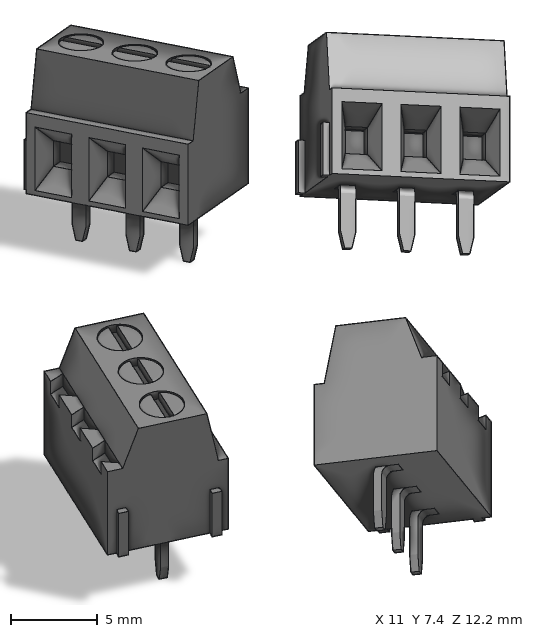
import cadquery as cq


pole_count = 3
pitch = 3.5
pole_places = [(i - (pole_count - 1) / 2) * pitch for i in range(pole_count)]

overall_height = 12.2

housing_length = 10.55
housing_depth = 7.4
housing_height = 8.5
front_ledge_height = 5.01
front_ledge_depth = 0.61
rear_ledge_height = 5.9
rear_ledge_depth = 0.93
top_front_setback = 1.3
top_rear_setback = 1.89

tab_length = 0.4
tab_height = 3.09
tab_edge_distance = 0.84
tab_outer_width = 0.62
tab_neck_width = 0.55

entry_width = 2.38
entry_height = 3.93
entry_floor = 0.3
funnel_depth = 1.28
tunnel_width = 1.33
tunnel_height = 1.59
tunnel_floor = 1.45
tunnel_roof = tunnel_floor + tunnel_height

recess_inner_width = 2.35
recess_rear_width = 1.39
recess_floor = front_ledge_height

axis_place = 3.42
screw_radius = 1.3
screw_edge_radius = 0.2
slot_width = 0.54
slot_depth = 0.56

clamp_gap = 0.07
clamp_height = tunnel_height - clamp_gap
clamp_depth = 2 * screw_radius
clamp_front = axis_place - clamp_depth / 2
tunnel_end = clamp_front + clamp_depth

pin_length = overall_height - housing_height
pin_width = 0.9
pin_thickness = 0.5
bend_inner_radius = pin_thickness
bend_outer_radius = bend_inner_radius + pin_thickness
foot_length = 0.5
tip_width = 0.44
tip_length = 0.96


def make_housing_block():
    """Stepped block with sloping front and rear faces."""
    outline = [
        (0, 0),
        (housing_depth, 0),
        (housing_depth, rear_ledge_height),
        (housing_depth - rear_ledge_depth, rear_ledge_height),
        (housing_depth - top_rear_setback, housing_height),
        (top_front_setback, housing_height),
        (front_ledge_depth, front_ledge_height),
        (0, front_ledge_height),
    ]
    return cq.Workplane("YZ").polyline(outline).close().extrude(housing_length / 2, both=True)


def make_tab(y):
    """Upright dovetail tab that widens away from the -X end face."""
    neck_x = -housing_length / 2
    outer_x = neck_x - tab_length
    outline = [
        (neck_x, y - tab_neck_width / 2),
        (neck_x, y + tab_neck_width / 2),
        (outer_x, y + tab_outer_width / 2),
        (outer_x, y - tab_outer_width / 2),
    ]
    return cq.Workplane("XY").polyline(outline).close().extrude(tab_height)


def make_wire_entry(x):
    """Space of one funnel and the tunnel behind it."""
    shift_up = (tunnel_floor + tunnel_height / 2) - (entry_floor + entry_height / 2)
    funnel = (
        cq.Workplane("XZ")
        .center(x, entry_floor + entry_height / 2)
        .rect(entry_width, entry_height)
        .workplane(offset=-funnel_depth)
        .center(0, shift_up)
        .rect(tunnel_width, tunnel_height)
        .loft(ruled=True)
    )
    tunnel = cq.Workplane("XY").box(
        tunnel_width, tunnel_end - funnel_depth, tunnel_height, centered=(True, False, False)
    )
    return funnel.union(tunnel.translate((x, funnel_depth, tunnel_floor)))


def make_rear_recess(x):
    """Space of one dovetail recess, narrower at the rear face."""
    inner_y = housing_depth - rear_ledge_depth
    outline = [
        (x - recess_inner_width / 2, inner_y),
        (x + recess_inner_width / 2, inner_y),
        (x + recess_rear_width / 2, housing_depth),
        (x - recess_rear_width / 2, housing_depth),
    ]
    height = rear_ledge_height - recess_floor
    return cq.Workplane("XY", origin=(0, 0, recess_floor)).polyline(outline).close().extrude(height)


def make_screw_hole(x):
    """Space of one screw, from the tunnel roof to the top face."""
    return (
        cq.Workplane("XY", origin=(x, axis_place, tunnel_roof))
        .circle(screw_radius)
        .extrude(housing_height - tunnel_roof)
    )


def make_screw(x):
    """Slotted screw, flush with the top face, with a rounded top edge."""
    slot = cq.Workplane("XY", origin=(x, axis_place, housing_height - slot_depth / 2)).box(
        2 * screw_radius, slot_width, slot_depth
    )
    return make_screw_hole(x).faces(">Z").edges().fillet(screw_edge_radius).cut(slot)


def make_clamp(x):
    """Block in the tunnel below the screw."""
    clamp = cq.Workplane("XY").box(
        tunnel_width, clamp_depth, clamp_height, centered=(True, False, False)
    )
    return clamp.translate((x, clamp_front, tunnel_floor))


def make_pin(x):
    """Bent strip: a pointed leg on the screw axis and a foot set into the underside."""
    front_y = axis_place - pin_thickness / 2
    rear_y = front_y + pin_thickness
    bend_y = front_y + bend_outer_radius
    bend_z = -bend_inner_radius
    foot_end = bend_y + foot_length
    strip = (
        cq.Workplane("YZ", origin=(x, 0, 0))
        .moveTo(front_y, -pin_length)
        .lineTo(front_y, bend_z)
        .radiusArc((bend_y, pin_thickness), bend_outer_radius)
        .lineTo(foot_end, pin_thickness)
        .lineTo(foot_end, 0)
        .lineTo(bend_y, 0)
        .radiusArc((rear_y, bend_z), -bend_inner_radius)
        .lineTo(rear_y, -pin_length)
        .close()
        .extrude(pin_width / 2, both=True)
    )
    shoulder_z = tip_length - pin_length
    front_outline = [
        (-tip_width / 2, -pin_length),
        (tip_width / 2, -pin_length),
        (pin_width / 2, shoulder_z),
        (pin_width / 2, pin_thickness),
        (-pin_width / 2, pin_thickness),
        (-pin_width / 2, shoulder_z),
    ]
    envelope = (
        cq.Workplane("XZ", origin=(x, 0, 0)).polyline(front_outline).close().extrude(-housing_depth)
    )
    return strip.intersect(envelope)


screws = [make_screw(x) for x in pole_places]
clamps = [make_clamp(x) for x in pole_places]
pins = [make_pin(x) for x in pole_places]

housing = make_housing_block()
for tab_y in (tab_edge_distance, housing_depth - tab_edge_distance):
    housing = housing.union(make_tab(tab_y))
for pole_x, pin in zip(pole_places, pins):
    housing = housing.cut(make_wire_entry(pole_x))
    housing = housing.cut(make_rear_recess(pole_x))
    housing = housing.cut(make_screw_hole(pole_x))
    housing = housing.cut(pin)

bodies = [housing] + screws + clamps + pins
result = cq.Compound.makeCompound([body.val() for body in bodies])